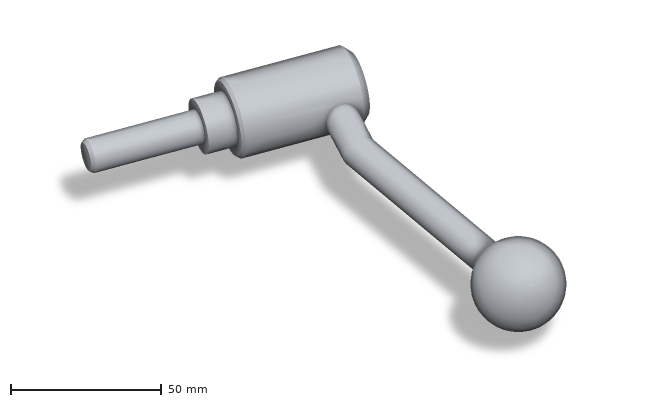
import cadquery as cq
import math

stud_diameter = 12.0
stud_length = 40.0
collar_diameter = 19.3
collar_length = 10.3
hub_diameter = 28.0
hub_length = 46.2
edge_chamfer_length = 1.2
edge_chamfer_depth = 1.0
top_chamfer_length = 2.9
top_chamfer_depth = 2.7

arm_radius = 6.0
arm_height = 85.8
bend_x = 29.4
bend_angle = 20.0
ball_diameter = 32.0
overall_length = 136.0

ball_radius = ball_diameter / 2
ball_x = overall_length - hub_diameter / 2 - ball_radius
collar_start = stud_length
hub_start = collar_start + collar_length
hub_end = hub_start + hub_length
ball_rise = (ball_x - bend_x) * math.tan(math.radians(bend_angle))

hub_axis_point = cq.Vector(0, arm_height, 0)
bend_point = cq.Vector(bend_x, arm_height, 0)
ball_center = cq.Vector(ball_x, arm_height + ball_rise, 0)


def make_turned_body():
    """Stud, collar and hub revolved as one half profile about Y."""
    stud_radius = stud_diameter / 2
    collar_radius = collar_diameter / 2
    hub_radius = hub_diameter / 2
    profile = [
        (0, 0),
        (stud_radius - edge_chamfer_depth, 0),
        (stud_radius, edge_chamfer_length),
        (stud_radius, collar_start),
        (collar_radius, collar_start),
        (collar_radius, hub_start),
        (hub_radius - edge_chamfer_depth, hub_start),
        (hub_radius, hub_start + edge_chamfer_length),
        (hub_radius, hub_end - top_chamfer_length),
        (hub_radius - top_chamfer_depth, hub_end),
        (0, hub_end),
    ]
    return cq.Workplane("XY").polyline(profile).close().revolve(360, (0, 0), (0, 1))


def make_rod(start, end):
    """Round arm section between two points."""
    span = end - start
    rod = cq.Solid.makeCylinder(arm_radius, span.Length, start, span)
    return cq.Workplane(obj=rod)


def make_ball(center, radius):
    return cq.Workplane("XY").sphere(radius).translate(center)


result = (
    make_turned_body()
    .union(make_rod(hub_axis_point, bend_point))
    .union(make_ball(bend_point, arm_radius))
    .union(make_rod(bend_point, ball_center))
    .union(make_ball(ball_center, ball_radius))
)